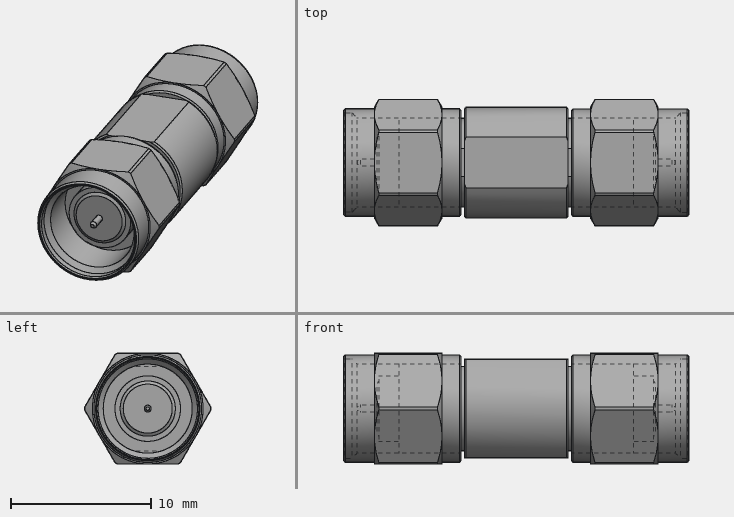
import cadquery as cq
import math

overall_length = 24.6
half_length = overall_length / 2
end_angles = (0, 180)
tool_size = 2 * overall_length

nut_length = 8.36
nut_radius = 3.84
nut_edge_chamfer = 0.12
hex_start = 2.2
hex_length = 4.82
hex_across_flats = 7.9
hex_corner_diameter = 9.0
hex_chamfer_angle = math.radians(60)
mouth_radius = 3.55
mouth_chamfer = 0.1
mouth_depth = 0.62
lead_in_length = 0.35
bore_radius = 3.17

barrel_length = 7.38
barrel_diameter = 7.92
barrel_chamfer = 0.12
barrel_across_flats = 7.04
neck_across_flats = 6.03

shoulder_depth = 3.94
sleeve_depth = 2.5
sleeve_radius = 2.34
nose_radius = 1.97
nose_length = 0.15
nose_tip_radius = 1.75
pin_radius = 0.25
pin_length = 1.38
pin_point_radius = 0.12
pin_point_length = 0.22

nut_rear = half_length - nut_length
barrel_end = barrel_length / 2
shoulder = half_length - shoulder_depth
sleeve_face = half_length - sleeve_depth
nose_tip = sleeve_face + nose_length
pin_tip = nose_tip + pin_length


def cylinder_x(start, length, radius):
    """Solid cylinder along +X from the given start."""
    return cq.Workplane("YZ", origin=(start, 0, 0)).circle(radius).extrude(length)


def revolve_x(profile):
    """Solid of revolution about X from (x, radius) points."""
    return (
        cq.Workplane("XY").polyline(profile).close()
        .revolve(360, (0, 0, 0), (1, 0, 0))
    )


def turned_end(shape, angle):
    """Turn a shape about Z, to carry it from the -X end to either end."""
    return shape.rotate((0, 0, 0), (0, 0, 1), angle)


def with_flats(shape, across_flats):
    """Trim a round shape to two flats facing up and down."""
    return shape.intersect(cq.Workplane("XY").box(tool_size, tool_size, across_flats))


def nut_hexagon():
    """Hexagon with turned corners and a cone chamfer at both ends."""
    start = -half_length + hex_start
    end = start + hex_length
    corner_radius = hex_corner_diameter / 2
    chamfer_radius = hex_across_flats / 2
    chamfer_length = (corner_radius - chamfer_radius) / math.tan(hex_chamfer_angle)
    circumscribed_diameter = hex_across_flats / math.cos(math.radians(30))
    prism = (
        cq.Workplane("YZ", origin=(start, 0, 0))
        .polygon(6, circumscribed_diameter).extrude(hex_length)
    )
    turned_envelope = revolve_x([
        (start, 0),
        (start, chamfer_radius),
        (start + chamfer_length, corner_radius),
        (end - chamfer_length, corner_radius),
        (end, chamfer_radius),
        (end, 0),
    ])
    return prism.intersect(turned_envelope)


def nut_cavity():
    """Chamfered mouth, conical lead-in and bore through to the rear face."""
    mouth = -half_length
    return revolve_x([
        (mouth, 0),
        (mouth, mouth_radius + mouth_chamfer),
        (mouth + mouth_chamfer, mouth_radius),
        (mouth + mouth_depth, mouth_radius),
        (mouth + mouth_depth + lead_in_length, bore_radius),
        (-nut_rear, bore_radius),
        (-nut_rear, 0),
    ])


def build_nut():
    """Coupling nut at the -X end."""
    sleeve = cylinder_x(-half_length, nut_length, nut_radius)
    sleeve = sleeve.faces("<X or >X").chamfer(nut_edge_chamfer)
    return sleeve.union(nut_hexagon()).cut(nut_cavity())


def contact_end():
    """Shank filling the nut bore, contact sleeve, nose and pointed pin at the -X end."""
    return revolve_x([
        (-nut_rear, 0),
        (-nut_rear, bore_radius),
        (-shoulder, bore_radius),
        (-shoulder, sleeve_radius),
        (-sleeve_face, sleeve_radius),
        (-sleeve_face, nose_radius),
        (-nose_tip, nose_tip_radius),
        (-nose_tip, pin_radius),
        (-pin_tip + pin_point_length, pin_radius),
        (-pin_tip, pin_point_radius),
        (-pin_tip, 0),
    ])


def build_body():
    """Flatted barrel with a flatted neck and a contact end on each side."""
    barrel = cylinder_x(-barrel_end, barrel_length, barrel_diameter / 2)
    barrel = barrel.faces("<X or >X").chamfer(barrel_chamfer)
    neck = cylinder_x(-nut_rear, 2 * nut_rear, bore_radius)
    solid = with_flats(barrel, barrel_across_flats).union(with_flats(neck, neck_across_flats))
    for angle in end_angles:
        solid = solid.union(turned_end(contact_end(), angle))
    return solid


body = build_body()
nuts = [turned_end(build_nut(), angle) for angle in end_angles]

result = cq.Compound.makeCompound([body.val(), *[nut.val() for nut in nuts]])